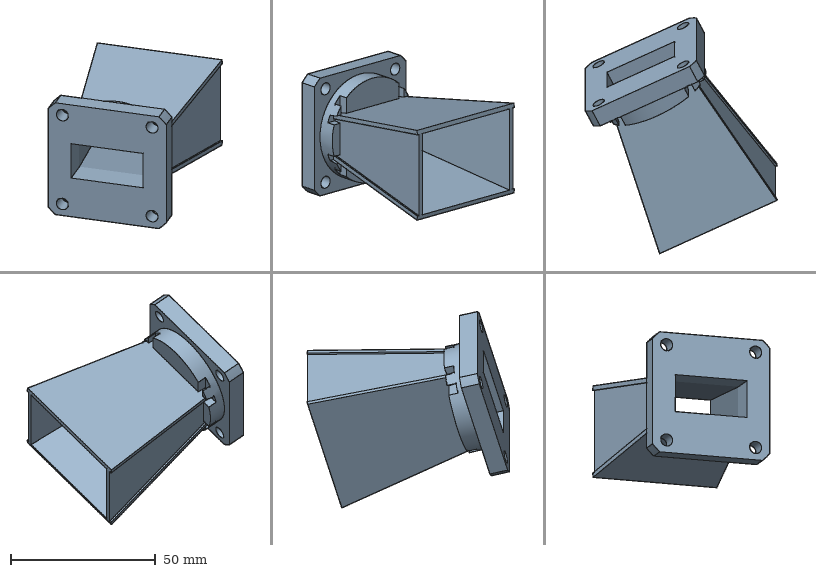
import cadquery as cq
import math

flange_size = 42.85
flange_thickness = 6.4
corner_radius = 28.5
bolt_diameter = 4.29
bolt_offset_x = 16.26
bolt_offset_z = 17.0

collar_diameter = 37.69
collar_end_y = 12.7
slot_floor_y = 9.45
slot_overlap = 0.83

opening_width = 26.1
opening_height = 13.15

overall_length = 60.71
mouth_plate_width = 45.31
throat_plate_width = 30.7
mouth_height = 32.7
mouth_side_width = 43.95
plate_thickness = 1.6

horn_length = overall_length - slot_floor_y
half_opening_width = opening_width / 2
half_opening_height = opening_height / 2

outer_mouth_z = mouth_height / 2
broad_flare = math.atan2(outer_mouth_z - plate_thickness - half_opening_height, horn_length)
inner_mouth_z = outer_mouth_z - plate_thickness * math.cos(broad_flare)
outer_mouth_y = overall_length - plate_thickness * math.sin(broad_flare)
outer_throat_z = half_opening_height + plate_thickness / math.cos(broad_flare)


def box_along_y(width, height, start_y, end_y):
    """Box centred on the Y axis between two Y positions."""
    length = end_y - start_y
    return cq.Workplane("XY").box(width, length, height).translate((0, start_y + length / 2, 0))


def broad_plate_section():
    """Section of the top plate as (y, z) points, in order round the outline.

    The throat end is flat on the slot floor; the mouth end is square to the plate.
    """
    return [
        (slot_floor_y, half_opening_height),
        (slot_floor_y, outer_throat_z),
        (outer_mouth_y, outer_mouth_z),
        (overall_length, inner_mouth_z),
    ]


def make_flange():
    flange = box_along_y(flange_size, flange_size, 0, flange_thickness)
    corner_trim = cq.Workplane("XZ").circle(corner_radius).extrude(-flange_thickness)
    flange = flange.intersect(corner_trim)
    bolt_points = [(sx * bolt_offset_x, sz * bolt_offset_z) for sx in (-1, 1) for sz in (-1, 1)]
    bolt_holes = cq.Workplane("XZ").pushPoints(bolt_points).circle(bolt_diameter / 2).extrude(-flange_thickness)
    return flange.cut(bolt_holes)


def make_collar():
    collar = cq.Workplane("XZ").circle(collar_diameter / 2).extrude(-collar_end_y)

    slot_depth = collar_end_y - slot_floor_y
    side_slot_width = plate_thickness + slot_overlap
    side_slot_x = half_opening_width - slot_overlap + side_slot_width / 2
    side_slot = cq.Workplane("XY").box(side_slot_width, slot_depth, collar_diameter)
    side_slot = side_slot.translate((side_slot_x, slot_floor_y + slot_depth / 2, 0))

    inner_wall_z = half_opening_height - slot_overlap
    outer_slope = (outer_mouth_z - outer_throat_z) / (outer_mouth_y - slot_floor_y)
    section = [
        (slot_floor_y, inner_wall_z),
        (slot_floor_y, outer_throat_z),
        (collar_end_y, outer_throat_z + outer_slope * slot_depth),
        (collar_end_y, inner_wall_z),
    ]
    broad_slot = cq.Workplane("YZ").polyline(section).close().extrude(collar_diameter / 2, both=True)

    collar = collar.cut(side_slot).cut(side_slot.mirror("YZ"))
    return collar.cut(broad_slot).cut(broad_slot.mirror("XY"))


def make_broad_plates():
    """Top and bottom plates, trapezoidal in plan."""
    top = cq.Workplane("YZ").polyline(broad_plate_section()).close().extrude(mouth_plate_width / 2, both=True)
    plan = [
        (-throat_plate_width / 2, slot_floor_y),
        (throat_plate_width / 2, slot_floor_y),
        (mouth_plate_width / 2, overall_length),
        (-mouth_plate_width / 2, overall_length),
    ]
    outline = cq.Workplane("XY").polyline(plan).close().extrude(mouth_height)
    top = top.intersect(outline)
    return top.union(top.mirror("XY"))


def make_side_plates():
    """Side plates with flat ends, fitted between the inner faces of the broad plates."""
    outer_mouth = mouth_side_width / 2
    flare = math.atan2(outer_mouth - plate_thickness - half_opening_width, horn_length)
    thickness_along_x = plate_thickness / math.cos(flare)
    plan = [
        (half_opening_width, slot_floor_y),
        (half_opening_width + thickness_along_x, slot_floor_y),
        (outer_mouth, overall_length),
        (outer_mouth - thickness_along_x, overall_length),
    ]
    plate = cq.Workplane("XY").polyline(plan).close().extrude(mouth_height / 2, both=True)

    gap = [
        (slot_floor_y, -half_opening_height),
        (slot_floor_y, half_opening_height),
        (overall_length, inner_mouth_z),
        (overall_length, -inner_mouth_z),
    ]
    gap_body = cq.Workplane("YZ").polyline(gap).close().extrude(mouth_plate_width / 2, both=True)
    plate = plate.intersect(gap_body)
    return plate.union(plate.mirror("YZ"))


opening = box_along_y(opening_width, opening_height, 0, collar_end_y)
base = make_flange().union(make_collar()).cut(opening)
result = base.union(make_broad_plates()).union(make_side_plates())